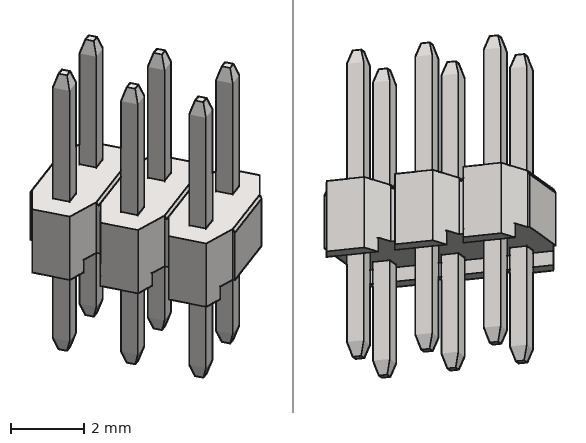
import cadquery as cq


pitch = 2.0
columns = 3
rows = 2
column_places = [pitch * (i - (columns - 1) / 2) for i in range(columns)]
row_places = [pitch * (i - (rows - 1) / 2) for i in range(rows)]
pin_places = [(x, y) for x in column_places for y in row_places]

housing_length = pitch * columns
housing_depth = pitch * rows
housing_height = 2.0
cell_width = 1.88
cell_end_width = 1.105
cell_straight_depth = housing_depth / 2
foot_height = 0.4
foot_depth = 0.53

web_depth = cell_straight_depth
web_bevel_height = 0.105
web_bevel_width = (pitch - cell_width) / 2

pin_length = 8.7
pin_width = 0.5
pin_below_housing = 2.8
tip_length = 0.4
tip_width = pin_width / 2


def make_cell(x):
    """Eight-sided cell centred on x, narrowing towards both row sides."""
    half_width = cell_width / 2
    half_end = cell_end_width / 2
    half_straight = cell_straight_depth / 2
    half_depth = housing_depth / 2
    outline = [
        (half_end, -half_depth),
        (half_width, -half_straight),
        (half_width, half_straight),
        (half_end, half_depth),
        (-half_end, half_depth),
        (-half_width, half_straight),
        (-half_width, -half_straight),
        (-half_end, -half_depth),
    ]
    return cq.Workplane("XY").center(x, 0).polyline(outline).close().extrude(housing_height)


def make_web_link(x):
    """One pitch of the web centred on x, its upper edges bevelled down to the cell joints."""
    link_height = housing_height - foot_height
    return (
        cq.Workplane("XY")
        .box(pitch, web_depth, link_height, centered=(True, True, False))
        .faces(">Z")
        .edges("|Y")
        .chamfer(web_bevel_height, web_bevel_width)
        .translate((x, 0, foot_height))
    )


def make_foot_channel():
    """Space under the housing that leaves a foot along each long side."""
    return cq.Workplane("XY").box(
        housing_length,
        housing_depth - 2 * foot_depth,
        foot_height,
        centered=(True, True, False),
    )


def make_pin(x, y):
    """Square pin with a tapered tip at each end."""
    bottom = -pin_below_housing
    shaft_bottom = bottom + tip_length
    shaft_top = bottom + pin_length - tip_length
    shaft = (
        cq.Workplane("XY")
        .workplane(offset=shaft_bottom)
        .rect(pin_width, pin_width)
        .extrude(shaft_top - shaft_bottom)
    )
    upper_tip = (
        cq.Workplane("XY")
        .workplane(offset=shaft_top)
        .rect(pin_width, pin_width)
        .workplane(offset=tip_length)
        .rect(tip_width, tip_width)
        .loft(ruled=True)
    )
    lower_tip = (
        cq.Workplane("XY")
        .workplane(offset=bottom)
        .rect(tip_width, tip_width)
        .workplane(offset=tip_length)
        .rect(pin_width, pin_width)
        .loft(ruled=True)
    )
    return shaft.union(upper_tip).union(lower_tip).translate((x, y, 0))


def make_housing():
    """Joined cells with feet below and a square hole for every pin."""
    body = make_cell(column_places[0])
    for x in column_places[1:]:
        body = body.union(make_cell(x))
    for x in column_places:
        body = body.union(make_web_link(x))
    body = body.cut(make_foot_channel())
    pin_holes = (
        cq.Workplane("XY")
        .pushPoints(pin_places)
        .rect(pin_width, pin_width)
        .extrude(housing_height)
    )
    return body.cut(pin_holes)


housing = make_housing()
pins = [make_pin(x, y) for x, y in pin_places]

result = cq.Compound.makeCompound([housing.solids().val(), *[pin.solids().val() for pin in pins]])